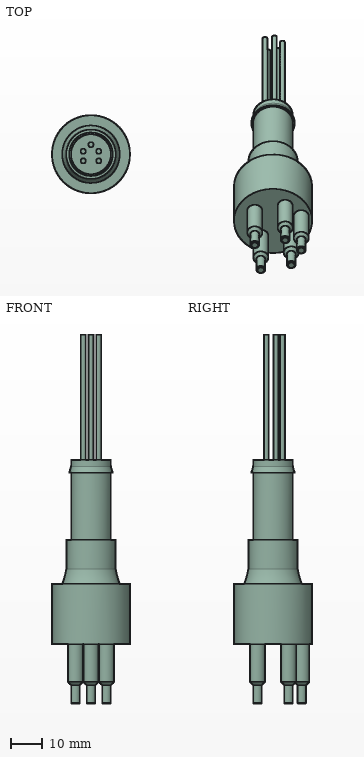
import cadquery as cq

base_diameter = 25.0
flare_diameter = 18.4
collar_diameter = 15.8
barb_diameter = 13.9
sleeve_diameter = 12.7
flare_hollow = 0.1

shoulder_level = 6.0
base_bottom = 19.1
base_top = 38.3
flare_top = 43.1
collar_top = 52.3
barb_bottom = 73.7
barb_top = 75.9
sleeve_top = 77.9
wire_top = 117.8

pin_diameter = 4.8
pin_tip_diameter = 2.8
pin_tip_chamfer = 0.4
pin_offset = 5.0
outer_pin_offset = 9.2
pin_positions = [
    (-pin_offset, -pin_offset),
    (pin_offset, -pin_offset),
    (-pin_offset, pin_offset),
    (pin_offset, pin_offset),
    (0, outer_pin_offset),
]

wire_diameter = 1.6
wire_side_offset = 2.5
wire_front_offset = -2.1
wire_middle_offset = 1.0
wire_back_offset = 3.1
wire_positions = [
    (-wire_side_offset, wire_front_offset),
    (wire_side_offset, wire_front_offset),
    (-wire_side_offset, wire_middle_offset),
    (wire_side_offset, wire_middle_offset),
    (0, wire_back_offset),
]


def make_body():
    """Revolve the base, concave flare, collar, sleeve and barb about Z."""
    base_radius = base_diameter / 2
    flare_radius = flare_diameter / 2
    collar_radius = collar_diameter / 2
    barb_radius = barb_diameter / 2
    sleeve_radius = sleeve_diameter / 2
    flare_middle = (
        (collar_radius + flare_radius) / 2 - flare_hollow,
        (flare_top + base_top) / 2,
    )
    return (
        cq.Workplane("XZ")
        .moveTo(0, sleeve_top)
        .lineTo(sleeve_radius, sleeve_top)
        .lineTo(sleeve_radius, barb_top)
        .lineTo(barb_radius, barb_bottom)
        .lineTo(sleeve_radius, barb_bottom)
        .lineTo(sleeve_radius, collar_top)
        .lineTo(collar_radius, collar_top)
        .lineTo(collar_radius, flare_top)
        .threePointArc(flare_middle, (flare_radius, base_top))
        .lineTo(base_radius, base_top)
        .lineTo(base_radius, base_bottom)
        .lineTo(0, base_bottom)
        .close()
        .revolve(360, (0, 0, 0), (0, 1, 0))
    )


def make_pins():
    """Stepped pins: a chamfered shoulder narrows each one to its thin tip."""
    shoulder_chamfer = (pin_diameter - pin_tip_diameter) / 2
    shank_top = (base_bottom + base_top) / 2
    shoulder_start = shoulder_level + shoulder_chamfer
    pin_radius = pin_diameter / 2
    tip_radius = pin_tip_diameter / 2
    profile = (
        cq.Workplane("XZ")
        .moveTo(0, 0)
        .lineTo(tip_radius - pin_tip_chamfer, 0)
        .lineTo(tip_radius, pin_tip_chamfer)
        .lineTo(tip_radius, shoulder_level)
        .lineTo(pin_radius, shoulder_start)
        .lineTo(pin_radius, shank_top)
        .lineTo(0, shank_top)
        .close()
    )
    pin = profile.revolve(360, (0, 0, 0), (0, 1, 0)).val()
    return cq.Workplane("XY").pushPoints(pin_positions).eachpoint(lambda place: pin.moved(place))


def make_wires():
    """Straight round wires standing on the top of the sleeve."""
    return (
        cq.Workplane("XY", origin=(0, 0, sleeve_top))
        .pushPoints(wire_positions)
        .circle(wire_diameter / 2)
        .extrude(wire_top - sleeve_top)
    )


result = make_body().union(make_pins()).union(make_wires())